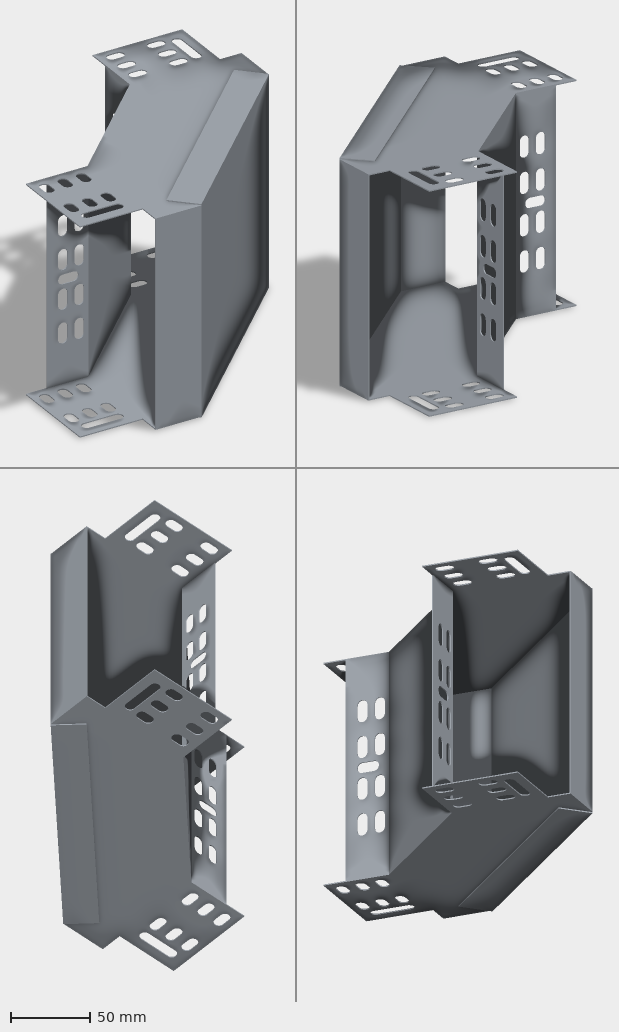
import cadquery as cq
import math


overall = 206.21
inner_height = 150.0
sheet = 0.8

tab_top = 190.4
tab_bottom = 124.3
tab_length = 45.4
wing_start = 46.2
wing_end = 80.0
leg_start = 15.2
flap_depth = 22.8

slot_width = 7.0
long_slot_length = 30.0
long_slot_center = (22.9, 179.8)
tab_slot_length = 12.5
tab_slot_columns = (8.3, 21.9, 35.5)
tab_slot_rows = (136.2, 166.2)

leg_slot_length = 15.0
leg_slot_columns = (26.9, 39.0)
leg_slot_levels = (-38.5, -14.2, 14.2, 38.5)
leg_slot_end = leg_slot_columns[0] - slot_width / 2
level_slot_center = leg_slot_end + leg_slot_length / 2

half_inner = inner_height / 2
half_tray = half_inner + sheet
half_overall = half_tray + sheet
wall_inside = overall - sheet
bend_setback = sheet * math.tan(math.radians(45 / 2))
inner_wing_end = wing_end - bend_setback


def swap_axes(points):
    """Mirror a chain of points in the plane X = Y, reversed so that it continues the chain."""
    return [(y, x) for x, y in reversed(points)]


def prism(half_outline, bottom, top):
    """Extrude an outline given by its half on the upper-left side of the plane X = Y."""
    outline = half_outline + swap_axes(half_outline)
    return cq.Workplane("XY").workplane(offset=bottom).polyline(outline).close().extrude(top - bottom)


def mirrored_pair(shape):
    """A shape together with its image in the plane X = Y."""
    image = shape.mirror("XY").rotate((0, 0, 0), (1, 1, 0), 180)
    return shape.union(image)


def make_plate(bottom):
    """Flat plate with a coupling tab at each end, butting against the outer wall."""
    half_outline = [
        (tab_length, tab_bottom),
        (0, tab_bottom),
        (0, tab_top),
        (wing_start, tab_top),
        (wing_start, wall_inside),
        (inner_wing_end, wall_inside),
    ]
    return prism(half_outline, bottom, bottom + sheet)


def make_inner_wall():
    """Diagonal inner wall with a leg bent along each tab."""
    inside = [(tab_length + bend_setback, tab_bottom + sheet), (leg_start, tab_bottom + sheet)]
    outside = [(leg_start, tab_bottom), (tab_length, tab_bottom)]
    outline = inside + outside + swap_axes(outside) + swap_axes(inside)
    return cq.Workplane("XY").workplane(offset=-half_inner).polyline(outline).close().extrude(inner_height)


def make_tab_slots():
    """Cutters for one tab, through both plates."""
    centers = [(x, y) for x in tab_slot_columns for y in tab_slot_rows]
    base = cq.Workplane("XY").workplane(offset=-half_overall)
    short_slots = base.pushPoints(centers).slot2D(tab_slot_length, slot_width, 90)
    cutters = short_slots.extrude(2 * half_overall)
    long_slot = base.center(*long_slot_center).slot2D(long_slot_length, slot_width)
    return cutters.union(long_slot.extrude(2 * half_overall))


def make_leg_slots():
    """Cutters for one leg of the inner wall."""
    centers = [(x, z) for x in leg_slot_columns for z in leg_slot_levels]
    base = cq.Workplane("XZ", origin=(0, tab_bottom + sheet, 0))
    upright_slots = base.pushPoints(centers).slot2D(leg_slot_length, slot_width, 90)
    cutters = upright_slots.extrude(sheet)
    level_slot = base.center(level_slot_center, 0).slot2D(leg_slot_length, slot_width)
    return cutters.union(level_slot.extrude(sheet))


def make_tray():
    """Both plates joined by the inner wall, with every slot cut."""
    tray = make_inner_wall()
    for bottom in (-half_tray, half_inner):
        tray = tray.union(make_plate(bottom))
    for cutters in (make_tab_slots(), make_leg_slots()):
        tray = tray.cut(mirrored_pair(cutters))
    return tray


def make_outer_wall():
    """Outer diagonal wall with a wing at each end and flaps lapping over both plates."""
    outside = [(wing_start, overall), (wing_end, overall)]
    inside = [(inner_wing_end, wall_inside), (wing_start, wall_inside)]
    outline = outside + swap_axes(outside) + swap_axes(inside) + inside
    base = cq.Workplane("XY").workplane(offset=-half_tray)
    wall = base.polyline(outline).close().extrude(2 * half_tray)

    flap_step = flap_depth / math.sqrt(2)
    flap_inset = bend_setback / math.sqrt(2)
    flap_corner = (wing_end + flap_inset, overall - flap_inset)
    flap_half = [(flap_corner[0] - flap_step, flap_corner[1] - flap_step), flap_corner]
    for bottom in (-half_overall, half_tray):
        wall = wall.union(prism(flap_half, bottom, bottom + sheet))
    return wall


tray = make_tray()
outer_wall = make_outer_wall()
result = cq.Compound.makeCompound([tray.val(), outer_wall.val()])